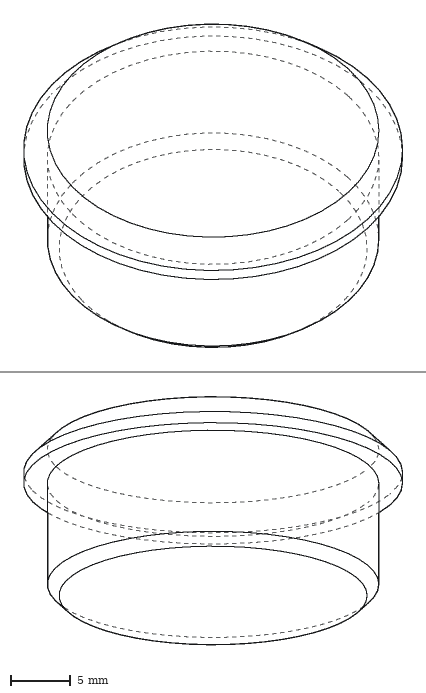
import cadquery as cq

flange_diameter = 32.0
body_diameter = 28.0
total_height = 13.0
small_step = 1.0

flange_bevel = (flange_diameter - body_diameter) / 2
flange_height = small_step + flange_bevel
body_height = total_height - flange_height

body = cq.Workplane("XY").circle(body_diameter / 2).extrude(body_height)
body = body.faces("<Z").chamfer(small_step)

flange = cq.Workplane("XY", origin=(0, 0, body_height)).circle(flange_diameter / 2).extrude(flange_height)
flange = flange.faces(">Z").chamfer(flange_bevel)

result = body.union(flange)